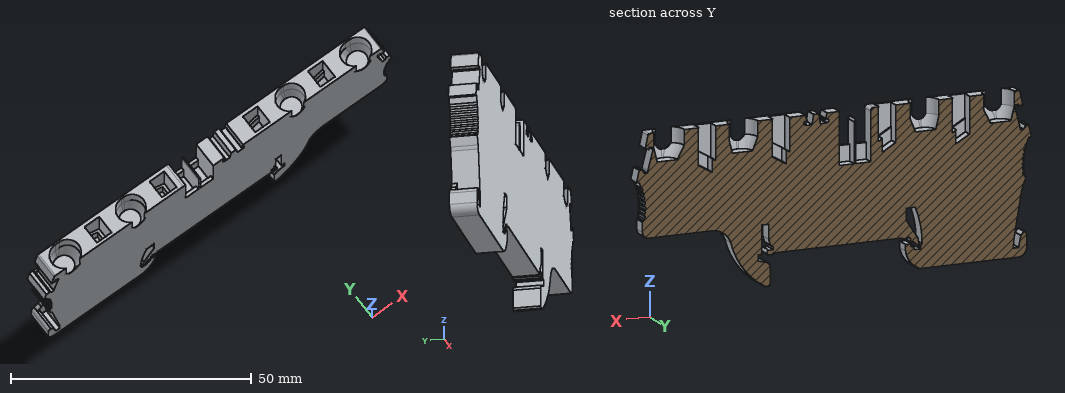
import cadquery as cq
import math

length = 90.2
thickness = 6.0
height = 36.0
half_length = length / 2
front_y = -thickness / 2
back_y = thickness / 2

rail_z = 7.0
arm_z = 13.4
foot_left_x = -44.0
foot_right_x = -16.2
foot_corner_radius = 2.1
foot_lip_back = (-43.3, 5.5)
foot_web_bend = (-42.2, 6.5)
wall_top = (-42.9, 14.35)
wall_bottom = (-41.7, 7.5)
foot_groove_wall_depth = 3.6
foot_groove_floor_z = 2.2
hook_left_x = 14.5
right_end_x = 43.8
arm_corner_radius = 1.5

grip_radius = 14.4
grip_center_x = 57.75
grip_center_z = 19.85
grip_top_z = 25.5
grip_bottom_z = 17.3
grip_groove_radius = 0.3
grip_groove_count = 7
grip_groove_pitch = 1.0
grip_groove_first_z = 18.05

top_corner_x = 42.1
top_corner_middle_x = 42.4
top_corner_middle_z = 35.9
recess_left_x = -8.3
recess_corner_radius = 0.7
recess_right_x = -1.3
recess_floor_z = 28.0
fin_left_x = -5.05
fin_right_x = -4.5
fin_shoulder_z = 33.4
fin_tip_x = -4.9
fin_tip_z = 34.0
floor_slot_width = 4.3
floor_slot_depth = 3.6
latch_center_x = 4.1
latch_floor_z = 33.8
latch_bulb_radius = 0.4
latch_bulb_offset = 2.4
latch_bulb_z = 34.3

web_thickness = 0.5
foot_web_thickness = 1.2

outer_well = (37.6, 0.5)
inner_well = (20.7, 0.4)
well_center_y = -0.4
well_radius = 2.9
well_taper_z = 32.6
well_floor_z = 29.7
well_floor_radius = 2.2
well_floor_straight = 0.3

entry_places = (12.1, 29.0)
entry_width = 3.8
entry_front_y = -2.3
entry_back_y = 2.1
entry_depth = 6.3
entry_slope = 30.0
entry_core_width = 3.0
entry_core_front_y = -2.0
entry_core_back_y = 1.5
entry_core_depth = 9.0


def grip_x(z):
    """Distance of the thumb grip surface from the middle at level z."""
    return grip_center_x - math.sqrt(grip_radius ** 2 - (z - grip_center_z) ** 2)


def prism(profile, y_from, y_to):
    """Extrude a closed XZ profile between two Y positions."""
    return profile.extrude(y_to - y_from).translate((0, y_to, 0))


def polygon(points, y_from=front_y, y_to=back_y):
    return prism(cq.Workplane("XZ").polyline(points).close(), y_from, y_to)


def box(x_from, x_to, y_from, y_to, z_from, z_to):
    size = (x_to - x_from, y_to - y_from, z_to - z_from)
    return cq.Workplane("XY").box(*size, centered=False).translate((x_from, y_from, z_from))


def both_ends(solid):
    return solid.union(solid.mirror("YZ"))


lower_lip_web = [(43.7, 28.3), (43.4, 28.1), (42.5, 28.1)]
upper_lip_web = [(41.3, 32.5), (42.2, 32.5)]
end_lips = [
    (half_length, 25.6),
    (44.5, 28.3),
    *lower_lip_web,
    *upper_lip_web,
    (43.1, 32.8),
    (42.5, 35.6),
]
left_lips_upwards = [(-x, z) for x, z in end_lips]


def body():
    outline = (
        cq.Workplane("XZ")
        .moveTo(-top_corner_x, height)
        .lineTo(recess_left_x - recess_corner_radius, height)
        .radiusArc((recess_left_x, height - recess_corner_radius), recess_corner_radius)
        .lineTo(recess_left_x, recess_floor_z)
        .lineTo(fin_left_x, recess_floor_z)
        .lineTo(fin_left_x, fin_shoulder_z)
        .lineTo(fin_tip_x, fin_tip_z)
        .lineTo(fin_right_x, fin_shoulder_z)
        .lineTo(fin_right_x, recess_floor_z)
        .lineTo(recess_right_x, recess_floor_z)
        .lineTo(recess_right_x, height)
        .lineTo(top_corner_x, height)
        .threePointArc((top_corner_middle_x, top_corner_middle_z), end_lips[-1])
        .polyline(end_lips[-2::-1], includeCurrent=True)
        .lineTo(grip_x(grip_top_z), grip_top_z)
        .threePointArc((grip_x(grip_center_z), grip_center_z), (grip_x(grip_bottom_z), grip_bottom_z))
        .lineTo(right_end_x, 17.1)
        .lineTo(right_end_x, arm_z + arm_corner_radius)
        .radiusArc((right_end_x - arm_corner_radius, arm_z), arm_corner_radius)
        .lineTo(27.5, arm_z)
        .threePointArc((25.3, 12.5), (23.6, 10.5))
        .threePointArc((20.9, 4.7), (15.7, 0))
        .lineTo(14.9, 0)
        .lineTo(hook_left_x, 0.4)
        .lineTo(hook_left_x, 4.3)
        .threePointArc((15.0, 5.05), (15.9, 5.4))
        .lineTo(17.2, 5.8)
        .lineTo(17.2, rail_z)
        .lineTo(16.4, rail_z)
        .lineTo(16.4, arm_z)
        .lineTo(15.0, arm_z)
        .lineTo(15.0, 10.3)
        .lineTo(14.6, 8.9)
        .lineTo(13.9, 8.4)
        .lineTo(13.9, 7.85)
        .lineTo(15.0, 7.85)
        .threePointArc((15.3, 7.3), (15.0, 6.8))
        .lineTo(13.8, 6.8)
        .lineTo(13.8, rail_z)
        .lineTo(-15.6, rail_z)
        .lineTo(-15.6, 6.8)
        .lineTo(-16.4, 6.8)
        .lineTo(-17.0, rail_z)
        .lineTo(-17.4, 6.8)
        .lineTo(-17.4, 6.05)
        .lineTo(-18.05, 6.0)
        .lineTo(-18.7, 5.4)
        .lineTo(-18.7, 4.9)
        .lineTo(-19.5, 4.9)
        .lineTo(-19.2, 6.7)
        .lineTo(-16.5, 10.9)
        .lineTo(-16.5, arm_z)
        .lineTo(-18.5, arm_z)
        .threePointArc((-19.7, 9.4), (-20.0, 5.4))
        .lineTo(-19.8, 5.05)
        .lineTo(-19.8, 4.3)
        .lineTo(-18.5, 4.3)
        .lineTo(-18.1, 4.9)
        .lineTo(-17.6, 5.1)
        .lineTo(-17.6, 5.7)
        .lineTo(foot_right_x, 5.7)
        .lineTo(foot_right_x, 4.3)
        .threePointArc((-17.3, 1.7), (-19.6, 0))
        .lineTo(foot_left_x + foot_corner_radius, 0)
        .radiusArc((foot_left_x, foot_corner_radius), foot_corner_radius)
        .lineTo(foot_left_x, 4.6)
        .threePointArc((-43.8, 5.2), foot_lip_back)
        .lineTo(*foot_web_bend)
        .lineTo(*wall_bottom)
        .lineTo(*wall_top)
        .lineTo(-43.1, 15.2)
        .lineTo(-43.9, 17.1)
        .lineTo(-grip_x(grip_bottom_z), grip_bottom_z)
        .threePointArc((-grip_x(grip_center_z), grip_center_z), (-grip_x(grip_top_z), grip_top_z))
        .polyline(left_lips_upwards, includeCurrent=True)
        .threePointArc((-top_corner_middle_x, top_corner_middle_z), (-top_corner_x, height))
        .close()
    )
    return prism(outline, front_y, back_y)


def grip_grooves():
    centers = []
    for i in range(grip_groove_count):
        z = grip_groove_first_z + i * grip_groove_pitch
        centers.append((grip_x(z), z))
    circles = cq.Workplane("XZ").pushPoints(centers).circle(grip_groove_radius)
    return both_ends(prism(circles, front_y, back_y))


def lip_undercuts():
    """Small notches deepening the marker grooves, closed by a web at the back."""
    web_y = back_y - web_thickness
    lower = polygon([*lower_lip_web, (42.6, 27.5), (43.2, 27.5)], front_y, web_y)
    upper = polygon([*upper_lip_web, (42.05, 32.9), (41.5, 32.9)], front_y, web_y)
    return both_ends(lower.union(upper))


def foot_groove():
    """Groove between the end wall and the foot lip, closed by a web at the back."""
    wall_slope = (wall_bottom[0] - wall_top[0]) / (wall_top[1] - wall_bottom[1])
    groove_wall = (
        wall_bottom[0] + wall_slope * foot_groove_wall_depth,
        wall_bottom[1] - foot_groove_wall_depth,
    )
    profile = [
        wall_bottom,
        groove_wall,
        (-41.0, foot_groove_floor_z),
        (-42.05, foot_groove_floor_z),
        (-42.6, 4.7),
        foot_lip_back,
        foot_web_bend,
    ]
    return polygon(profile, front_y, back_y - foot_web_thickness)


def latch_notches():
    left = polygon([(1.6, height), (2.0, 34.8), (1.8, latch_floor_z), (3.1, latch_floor_z), (3.4, height)])
    bulb_circle = cq.Workplane("XZ").center(latch_center_x - latch_bulb_offset, latch_bulb_z)
    left = left.union(prism(bulb_circle.circle(latch_bulb_radius), front_y, back_y - web_thickness))
    right = left.mirror("YZ").translate((2 * latch_center_x, 0, 0))
    return left.union(right)


def recess_slots():
    """Bridge slots in the recess floor, one on each side of the fin."""
    half_width = floor_slot_width / 2
    bottom_z = recess_floor_z - floor_slot_depth
    left = box(recess_left_x, fin_left_x, -half_width, half_width, bottom_z, recess_floor_z)
    right = box(fin_right_x, recess_right_x, -half_width, half_width, bottom_z, recess_floor_z)
    return left.union(right)


def slot_outline(x_from, x_to, radius, z):
    """Slot with round ends whose end centres lie between two X positions."""
    plane = cq.Workplane("XY", origin=((x_from + x_to) / 2, well_center_y, z))
    return plane.slot2D(x_to - x_from + 2 * radius, 2 * radius)


def screwdriver_well(center_x, half_straight):
    """Slot-shaped well that breaks through the front face, its floor set outwards."""
    inward_x = center_x - half_straight
    outward_x = center_x + half_straight
    floor_inward_x = outward_x - well_floor_straight
    mouth = slot_outline(inward_x, outward_x, well_radius, well_taper_z).extrude(height - well_taper_z)
    floor_wire = slot_outline(floor_inward_x, outward_x, well_floor_radius, well_floor_z).wire().val()
    taper_wire = slot_outline(inward_x, outward_x, well_radius, well_taper_z).wire().val()
    return mouth.union(cq.Workplane(cq.Solid.makeLoft([floor_wire, taper_wire], True)))


def sloped_pocket(x_from, x_to, y_from, y_to, middle_z):
    """Rectangular pocket open at the top, its floor falling towards the middle of the part."""
    half_drop = (x_to - x_from) / 2 * math.tan(math.radians(entry_slope))
    profile = [
        (x_from, height),
        (x_from, middle_z - half_drop),
        (x_to, middle_z + half_drop),
        (x_to, height),
    ]
    return polygon(profile, y_from, y_to)


def wire_entry(center_x):
    outer_x = center_x + entry_width / 2
    mouth = sloped_pocket(outer_x - entry_width, outer_x, entry_front_y, entry_back_y, height - entry_depth)
    core = sloped_pocket(
        outer_x - entry_core_width, outer_x,
        entry_core_front_y, entry_core_back_y, height - entry_core_depth,
    )
    return mouth.union(core)


result = (
    body()
    .cut(grip_grooves())
    .cut(lip_undercuts())
    .cut(foot_groove())
    .cut(latch_notches())
    .cut(recess_slots())
)
for well_x, well_half_straight in (outer_well, inner_well):
    result = result.cut(both_ends(screwdriver_well(well_x, well_half_straight)))
for entry_x in entry_places:
    result = result.cut(both_ends(wire_entry(entry_x)))